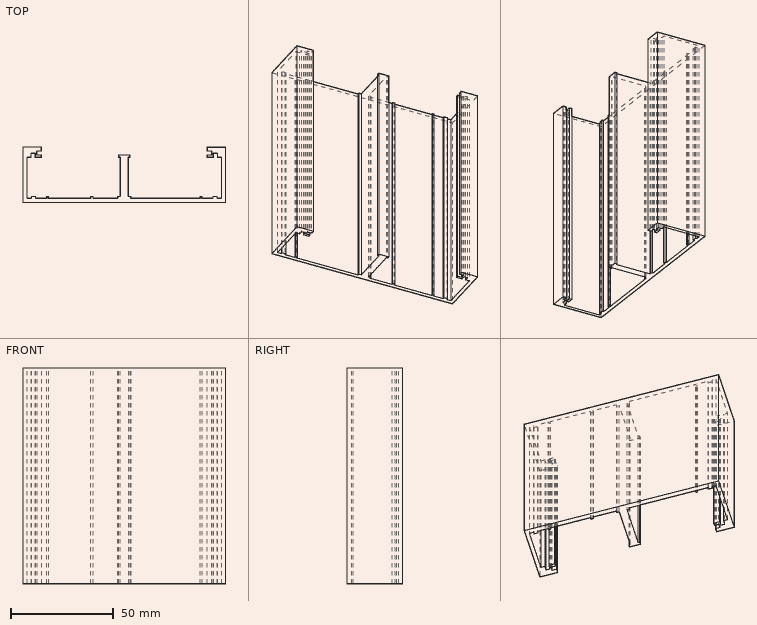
import cadquery as cq

width = 98.49
depth = 27.06
right_depth = 27.0
length = 105.0

wall = 2.0
base_thickness = 2.2

lip_reach = 9.0
lip_bottom = 22.0
slot_start = 4.0
slot_width = 2.0
slot_top = 24.0
groove_bottom = 23.25
groove_top = 25.1
groove_reach = 2.2

web_width = 4.0
web_height = 23.25
flange_width = 5.5
flange_thickness = web_height - lip_bottom
root_width = 6.5

rib_height = 0.85
wide_rib_offset = 44.1
wide_rib_width = 2.0
narrow_rib_offset = 37.3
narrow_rib_width = 0.8
marker_rib_x = -15.7
marker_rib_width = 1.25

half_width = width / 2
base_back = -depth / 2


def bar(x_min, x_max, low, high):
    """Full-length bar; low and high are measured from the outer face of the base."""
    return (
        cq.Workplane("XY")
        .box(x_max - x_min, high - low, length, centered=False)
        .translate((x_min, base_back + low, -length / 2))
    )


def centered_bar(x, bar_width, low, high):
    return bar(x - bar_width / 2, x + bar_width / 2, low, high)


def make_left_side(side_depth):
    """Left wall with its lip, slotted on the inside and grooved at the tip."""
    outer = -half_width
    lip_tip = outer + lip_reach
    slot_x = outer + slot_start
    side = bar(outer, outer + wall, 0, side_depth)
    side = side.union(bar(outer, lip_tip, lip_bottom, side_depth))
    side = side.cut(bar(slot_x, slot_x + slot_width, lip_bottom, slot_top))
    return side.cut(bar(lip_tip - groove_reach, lip_tip, groove_bottom, groove_top))


def make_base():
    """Flat base plate with the ribs on its inner face."""
    base = bar(-half_width, half_width, 0, base_thickness)
    rib_top = base_thickness + rib_height
    for side in (-1, 1):
        base = base.union(centered_bar(side * wide_rib_offset, wide_rib_width, 0, rib_top))
        base = base.union(centered_bar(side * narrow_rib_offset, narrow_rib_width, 0, rib_top))
    return base.union(centered_bar(marker_rib_x, marker_rib_width, 0, rib_top))


def make_web():
    """Central web with a thickened root and a flange at its free edge."""
    web = centered_bar(0, web_width, 0, web_height)
    web = web.union(centered_bar(0, root_width, 0, base_thickness + rib_height))
    return web.union(centered_bar(0, flange_width, web_height - flange_thickness, web_height))


left_side = make_left_side(depth)
right_side = make_left_side(right_depth).mirror("YZ")
result = make_base().union(left_side).union(right_side).union(make_web()).clean()